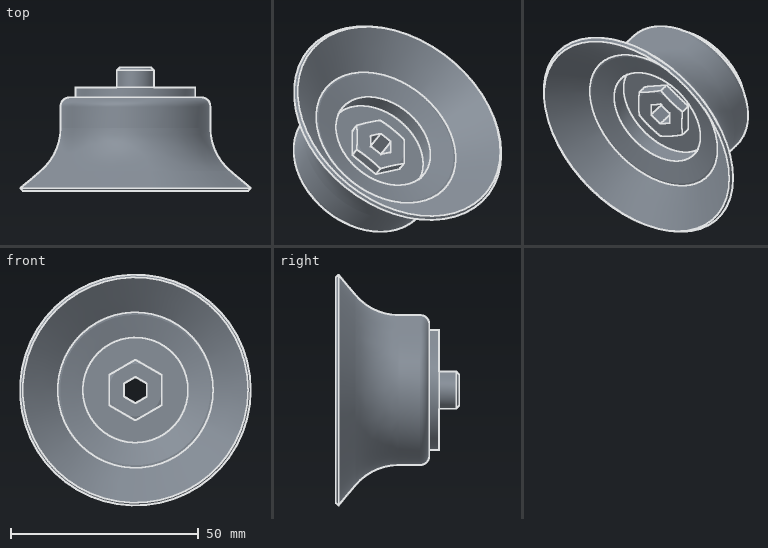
import cadquery as cq
import math


TOTAL_LENGTH = 33.0
LIP_Y = 0.8
FLARE_START_Y = 16.8
SHOULDER_Y = 25.0
FLANGE_TOP_Y = 27.6
SEAT_OUTER_Y = 7.9
SEAT_INNER_Y = 9.6
FLOOR_Y = 14.0

BODY_RADIUS = 40.0 / 2
FLANGE_RADIUS = 32.0 / 2
STUD_RADIUS = 10.0 / 2
BORE_RADIUS = 28.0 / 2
LIP_RADIUS = 61.5 / 2
MOUTH_RADIUS = 30.0
SEAT_RIM_RADIUS = 20.7
SEAT_RADIUS = BODY_RADIUS

FLARE_RADIUS = 15.0
SHOULDER_FILLET = 2.5
STUD_CHAMFER = 0.9
NUT_ACROSS_FLATS = 14.0
NUT_HEIGHT = 3.0
NUT_CHAMFER_ANGLE = 15.0
KEY_ACROSS_FLATS = 6.0
HEX_HALF_ANGLE = 30.0


def tangent_flare():
    """Middle and end points of the flare arc whose end tangent reaches the lip."""
    center_r = BODY_RADIUS + FLARE_RADIUS
    to_lip_r = LIP_RADIUS - center_r
    to_lip_y = LIP_Y - FLARE_START_Y
    lip_distance = math.hypot(to_lip_r, to_lip_y)
    lip_direction = math.atan2(-to_lip_y, -to_lip_r)
    sweep = lip_direction - math.acos(FLARE_RADIUS / lip_distance)

    def arc_point(angle):
        return (
            center_r - FLARE_RADIUS * math.cos(angle),
            FLARE_START_Y - FLARE_RADIUS * math.sin(angle),
        )

    return arc_point(sweep / 2), arc_point(sweep)


def make_cup():
    """Revolve the half section of the cup, flange and stud."""
    flare_middle, flare_end = tangent_flare()
    fillet_start = (BODY_RADIUS, SHOULDER_Y - SHOULDER_FILLET)
    fillet_end = (BODY_RADIUS - SHOULDER_FILLET, SHOULDER_Y)
    fillet_inset = SHOULDER_FILLET * (1 - math.sqrt(0.5))
    fillet_middle = (BODY_RADIUS - fillet_inset, SHOULDER_Y - fillet_inset)
    section = (
        cq.Workplane("XY")
        .moveTo(0, FLOOR_Y)
        .lineTo(BORE_RADIUS, FLOOR_Y)
        .lineTo(BORE_RADIUS, SEAT_INNER_Y)
        .lineTo(SEAT_RADIUS, SEAT_OUTER_Y)
        .lineTo(SEAT_RIM_RADIUS, SEAT_OUTER_Y)
        .lineTo(MOUTH_RADIUS, 0)
        .lineTo(LIP_RADIUS, LIP_Y)
        .lineTo(*flare_end)
        .threePointArc(flare_middle, (BODY_RADIUS, FLARE_START_Y))
        .lineTo(*fillet_start)
        .threePointArc(fillet_middle, fillet_end)
        .lineTo(FLANGE_RADIUS, SHOULDER_Y)
        .lineTo(FLANGE_RADIUS, FLANGE_TOP_Y)
        .lineTo(STUD_RADIUS, FLANGE_TOP_Y)
        .lineTo(STUD_RADIUS, TOTAL_LENGTH - STUD_CHAMFER)
        .lineTo(STUD_RADIUS - STUD_CHAMFER, TOTAL_LENGTH)
        .lineTo(0, TOTAL_LENGTH)
        .close()
    )
    return section.revolve(360, (0, 0, 0), (0, 1, 0))


def hex_prism(across_flats, start_y, length):
    """Hexagonal prism along +Y with two corners on the Z direction."""
    corner_diameter = across_flats / math.cos(math.radians(HEX_HALF_ANGLE))
    prism = cq.Workplane("XY").polygon(6, corner_diameter).extrude(length)
    upright = prism.rotate((0, 0, 0), (0, 0, 1), HEX_HALF_ANGLE)
    return upright.rotate((0, 0, 0), (1, 0, 0), -90).translate((0, start_y, 0))


def make_nut():
    """Hexagonal head on the bore floor, its front corners turned off to a cone."""
    face_y = FLOOR_Y - NUT_HEIGHT
    face_radius = NUT_ACROSS_FLATS / 2
    base_radius = face_radius + NUT_HEIGHT / math.tan(math.radians(NUT_CHAMFER_ANGLE))
    cone = (
        cq.Workplane("XY")
        .polyline([(0, face_y), (face_radius, face_y), (base_radius, FLOOR_Y), (0, FLOOR_Y)])
        .close()
        .revolve(360, (0, 0, 0), (0, 1, 0))
    )
    return hex_prism(NUT_ACROSS_FLATS, face_y, NUT_HEIGHT).intersect(cone)


key_hole = hex_prism(KEY_ACROSS_FLATS, 0, TOTAL_LENGTH)
result = make_cup().union(make_nut()).cut(key_hole)